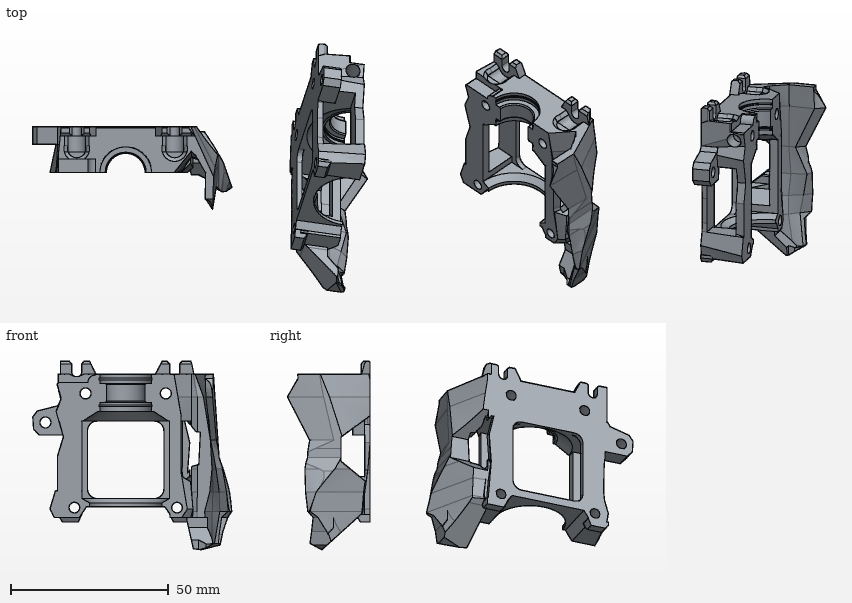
import cadquery as cq
import math


BODY_DEPTH = 14.6
BACK_PLATE_THICKNESS = 1.75
POST_THICKNESS = 2.7
OVERCUT = 1.0
REACH = 40.0
OPENING_HALF_WIDTH = 13.85
OPENING_TOP = -14.9
OPENING_BOTTOM = -39.35
BACK_OPENING_HALF_WIDTH = 12.05
BACK_OPENING_RADIUS = 3.0
SIDE_WINDOW_BOTTOM = -37.0
RIGHT_WALL_X = 20.8
RIGHT_SILL_TOP = -32.0
BRIDGE_BOTTOM = -42.0
FOOT_BOTTOM = -45.4
REAR_FOOT_BOTTOM = -46.8
REAR_FOOT_FRONT_Y = 10.6
REAR_EDGE_CHAMFER = 0.4
PLATE_FRONT = BODY_DEPTH - BACK_PLATE_THICKNESS

BORE_RADIUS = 6.1
SEAT_RADIUS = 8.15
SEAT_DEPTH = 2.9
SEAT_CHAMFER = 0.4
LOWER_SEAT_TOP = -8.9
LOWER_SEAT_BOTTOM = -11.85
CONE_TOP_RADIUS = 8.9
CONE_BOTTOM_RADIUS = 13.6
GROOVE_DEPTH = 0.25
GROOVE_HEIGHT = 0.5
UPPER_GROOVE_TOP = -1.3
LOWER_GROOVE_TOP = -9.75
RING_RADIUS = 11.45
RING_CONE_HEIGHT = 1.4

MOUNT_HOLE_DIAMETER = 3.4
UPPER_HOLE_X = 12.7
UPPER_HOLE_Z = -6.1
FOOT_HOLE_DIAMETER = 3.3
FOOT_HOLE_X = 16.25
FOOT_HOLE_Z = -42.25
SIDE_PIN_DIAMETER = 4.5
SIDE_PIN_Y = 3.5
SIDE_PIN_Z = -5.7
SIDE_PIN_START_X = -25.0
SIDE_PIN_END_X = -14.5

EAR_DEPTH = 5.6
EAR_HOLE_X = -25.4
EAR_HOLE_Z = -15.3

CLIP_X = 15.5
CLIP_INNER_X = 9.4
CLIP_HEIGHT = 4.08
CLIP_THICKNESS = 2.9
CLIP_CHAMFER = 0.8
SLOT_WIDTH = 3.1
SLOT_AXIS_Z = 0.65
HEAD_DIAMETER = 6.0
HEAD_POCKET_END_Y = 6.6
FLARE_WIDTH = 7.85
FLARE_DEPTH = 1.15
FLARE_END_RADIUS = 4.06

STEP_DEPTH = 2.7
STEP_BACK_Y = 4.3
STEP_RIGHT_X = -9.6
STEP_RADIUS = 2.4
CORNER_X = -21.3
CORNER_CHAMFER = 1.2
CORNER_SETBACK = 0.4

WEB_BACK_Y = 5.4
SHOULDER_INNER_X = 14.0
WEB_FRONT_Y = 4.25
WING_BOTTOM = -55.62
WING_LOW_Y = -0.7
DUCT_FLOOR_BACK_Y = 3.0


def prism_y(points, y_start, y_end):
    """Prism along Y with an outline given as (x, z) points."""
    outline = cq.Workplane("XZ").polyline(points).close()
    return outline.extrude(y_start - y_end).translate((0, y_start, 0))


def prism_x(points, x_start, x_end):
    """Prism along X with an outline given as (y, z) points."""
    outline = cq.Workplane("YZ").polyline(points).close()
    return outline.extrude(x_end - x_start).translate((x_start, 0, 0))


def block(x_range, y_range, z_range):
    """Axis-aligned box spanning the three ranges."""
    sizes = [high - low for low, high in (x_range, y_range, z_range)]
    corner = (x_range[0], y_range[0], z_range[0])
    return cq.Workplane("XY").box(*sizes, centered=False).translate(corner)


def cylinder_y(x, z, diameter, y_start, y_end):
    """Cylinder along Y."""
    axis_start = cq.Vector(x, y_start, z)
    solid = cq.Solid.makeCylinder(diameter / 2, y_end - y_start, axis_start, cq.Vector(0, 1, 0))
    return cq.Workplane(obj=solid)


def polyhedron_between(rings):
    """Ruled solid through closed 3D polygons with equal numbers of corners."""
    wires = [cq.Wire.makePolygon([cq.Vector(*p) for p in ring], close=True) for ring in rings]
    return cq.Workplane(obj=cq.Solid.makeLoft(wires, True))


def make_body():
    """Frame whose left and right flanks change shape from front to back."""
    front_outline = [
        (-21.9, 0), (-21.8, -3.05), (-20.4, -7.45), (-22.05, -11.75), (-19.75, -19.75),
        (-21.65, -26.05), (-21.65, -36.95), (-22.3, -36.95), (-24.0, -42.65),
        (-22.6, FOOT_BOTTOM), (-14.7, FOOT_BOTTOM), (-12.4, BRIDGE_BOTTOM),
        (12.4, BRIDGE_BOTTOM), (14.7, FOOT_BOTTOM), (17.5, FOOT_BOTTOM), (19.5, -42.7),
        (17.5, -31.0), (17.5, -13.0), (15.3, 0),
    ]
    back_outline = [
        (-20.4, 0), (-20.4, -8.6), (-20.4, -8.9), (-21.2, -10.2), (-19.75, -19.75),
        (-19.4, -26.05), (-19.3, -34.0), (-19.6, -36.95), (-20.9, -41.3),
        (-20.2, FOOT_BOTTOM), (-14.7, FOOT_BOTTOM), (-12.4, BRIDGE_BOTTOM),
        (12.4, BRIDGE_BOTTOM), (14.7, FOOT_BOTTOM), (20.7, FOOT_BOTTOM), (20.5, -42.7),
        (19.6, -31.3), (20.3, -21.7), (21.0, 0),
    ]
    front_ring = [(x, 0, z) for x, z in front_outline]
    back_ring = [(x, BODY_DEPTH, z) for x, z in back_outline]
    return polyhedron_between([front_ring, back_ring])


def make_rear_feet():
    """Lower blocks at the back of both feet, sloping up at their front."""
    profile = [(11.5, REAR_FOOT_BOTTOM), (BODY_DEPTH, REAR_FOOT_BOTTOM),
               (BODY_DEPTH, FOOT_BOTTOM + OVERCUT), (REAR_FOOT_FRONT_Y, FOOT_BOTTOM + OVERCUT),
               (REAR_FOOT_FRONT_Y, FOOT_BOTTOM)]
    inside_z = FOOT_BOTTOM + OVERCUT
    left_outline = [(-20.95, FOOT_BOTTOM), (-20.0, REAR_FOOT_BOTTOM), (-14.95, REAR_FOOT_BOTTOM),
                    (-13.9, inside_z), (-20.95, inside_z)]
    right_outline = [(21.0, REAR_FOOT_BOTTOM), (15.1, REAR_FOOT_BOTTOM), (13.9, inside_z),
                     (21.0, inside_z)]
    feet = prism_y(left_outline, 0, BODY_DEPTH).union(prism_y(right_outline, 0, BODY_DEPTH))
    return feet.intersect(prism_x(profile, -REACH, REACH))


def make_ear():
    """Mounting ear on the left of the back plate."""
    outline = [(-19.75, -19.3), (-27.4, -19.3), (-29.2, -17.4), (-29.45, -13.55), (-28.0, -11.65),
               (-21.6, -10.0), (-20.5, -8.5), (-19.0, -8.5)]
    return prism_y(outline, BODY_DEPTH - EAR_DEPTH, BODY_DEPTH)


def make_clips():
    """Two slotted screw clips standing on the rear edge of the deck."""
    top = CLIP_HEIGHT
    base = -OVERCUT
    left = [(-20.4, base), (-20.7, 0), (-20.7, top), (-11.4, top), (-CLIP_INNER_X, 0),
            (-CLIP_INNER_X, base)]
    right = [(20.8, base), (21.6, 0), (20.95, top - CLIP_CHAMFER), (20.6, top),
             (11.5, top), (CLIP_INNER_X, 0), (CLIP_INNER_X, base)]
    front_y = BODY_DEPTH - CLIP_THICKNESS
    profile = [(front_y, base), (front_y, top - CLIP_CHAMFER), (front_y + CLIP_CHAMFER, top),
               (BODY_DEPTH - REAR_EDGE_CHAMFER, top), (BODY_DEPTH, top - REAR_EDGE_CHAMFER),
               (BODY_DEPTH, base)]
    clips = prism_y(left, front_y, BODY_DEPTH).union(prism_y(right, front_y, BODY_DEPTH))
    plan = [(-20.8, front_y), (-20.4, BODY_DEPTH), (19.6, BODY_DEPTH), (21.75, front_y)]
    clips = clips.intersect(prism_x(profile, -REACH, REACH))
    return clips.intersect(cq.Workplane("XY").polyline(plan).close().extrude(2 * top, both=True))


def make_screw_cut(x):
    """Shank slot, mouth chamfer, flared head trough and its conical front end for one clip."""
    back = BODY_DEPTH + OVERCUT
    front_y = BODY_DEPTH - CLIP_THICKNESS
    half = SLOT_WIDTH / 2
    slot = block((x - half, x + half), (front_y - OVERCUT, back), (SLOT_AXIS_Z, CLIP_HEIGHT + OVERCUT))
    slot = slot.union(cylinder_y(x, SLOT_AXIS_Z, SLOT_WIDTH, front_y - OVERCUT, back))
    mouth_outline = [(x - half, CLIP_HEIGHT - CLIP_CHAMFER), (x - half - CLIP_CHAMFER, CLIP_HEIGHT),
                     (x + half + CLIP_CHAMFER, CLIP_HEIGHT), (x + half, CLIP_HEIGHT - CLIP_CHAMFER)]
    slot = slot.union(prism_y(mouth_outline, front_y, BODY_DEPTH))
    head = cylinder_y(x, 0, HEAD_DIAMETER, HEAD_POCKET_END_Y, front_y)
    head = head.intersect(block((x - HEAD_DIAMETER, x + HEAD_DIAMETER), (0, front_y), (-HEAD_DIAMETER, 0)))
    flare_half = FLARE_WIDTH / 2
    flare_outline = [(x - flare_half, 0), (x - flare_half + FLARE_DEPTH, -FLARE_DEPTH),
                     (x + flare_half - FLARE_DEPTH, -FLARE_DEPTH), (x + flare_half, 0)]
    flare = prism_y(flare_outline, HEAD_POCKET_END_Y, front_y)
    cone_y = HEAD_POCKET_END_Y + math.sqrt(FLARE_END_RADIUS**2 - flare_half**2)
    cone = cq.Solid.makeCone(FLARE_END_RADIUS, FLARE_END_RADIUS - FLARE_DEPTH, FLARE_DEPTH,
                             cq.Vector(x, cone_y, 0), cq.Vector(0, 0, -1))
    return slot.union(head).union(flare).union(cq.Workplane(obj=cone))


def make_bore_cut():
    """Stepped bore with two grooved seats, opening into a cone at the bottom."""
    profile = [
        (0, OVERCUT), (SEAT_RADIUS, OVERCUT), (SEAT_RADIUS, -SEAT_DEPTH),
        (BORE_RADIUS + SEAT_CHAMFER, -SEAT_DEPTH), (BORE_RADIUS, -SEAT_DEPTH - SEAT_CHAMFER),
        (BORE_RADIUS, LOWER_SEAT_TOP + SEAT_CHAMFER), (BORE_RADIUS + SEAT_CHAMFER, LOWER_SEAT_TOP),
        (SEAT_RADIUS, LOWER_SEAT_TOP), (SEAT_RADIUS, LOWER_SEAT_BOTTOM),
        (CONE_TOP_RADIUS, LOWER_SEAT_BOTTOM), (CONE_BOTTOM_RADIUS, OPENING_TOP), (0, OPENING_TOP),
    ]
    cut = cq.Workplane("XZ").polyline(profile).close().revolve(360, (0, 0, 0), (0, 1, 0))
    for top in (UPPER_GROOVE_TOP, LOWER_GROOVE_TOP):
        groove = cq.Workplane("XY").circle(SEAT_RADIUS + GROOVE_DEPTH).extrude(-GROOVE_HEIGHT)
        cut = cut.union(groove.translate((0, 0, top)))
    return cut


def make_ring_cut():
    """Round passage with a coned upper edge through the bottom bridge."""
    ring_top = OPENING_BOTTOM - RING_CONE_HEIGHT
    profile = [(0, OPENING_BOTTOM), (OPENING_HALF_WIDTH, OPENING_BOTTOM), (RING_RADIUS, ring_top),
               (RING_RADIUS, REAR_FOOT_BOTTOM), (0, REAR_FOOT_BOTTOM)]
    return cq.Workplane("XZ").polyline(profile).close().revolve(360, (0, 0, 0), (0, 1, 0))


def make_opening_cut():
    """Central cavity, rounded opening in the back plate and the two side windows."""
    span = (-OPENING_HALF_WIDTH, OPENING_HALF_WIDTH)
    cavity = block(span, (-OVERCUT, PLATE_FRONT), (OPENING_BOTTOM, OPENING_TOP))
    back_span = (-BACK_OPENING_HALF_WIDTH, BACK_OPENING_HALF_WIDTH)
    back_opening = block(back_span, (0, BODY_DEPTH + OVERCUT), (OPENING_BOTTOM, OPENING_TOP))
    back_opening = back_opening.edges("|Y").fillet(BACK_OPENING_RADIUS)
    window_outline = [(-REACH, OPENING_TOP), (-REACH, SIDE_WINDOW_BOTTOM),
                      (OPENING_HALF_WIDTH, SIDE_WINDOW_BOTTOM), (RIGHT_WALL_X, RIGHT_SILL_TOP),
                      (RIGHT_WALL_X, OPENING_TOP)]
    windows = prism_y(window_outline, POST_THICKNESS, PLATE_FRONT)
    return cavity.union(back_opening).union(windows)


def make_deck_step():
    """Step in the front left deck corner, with a rounded lip at its right end."""
    step = (
        cq.Workplane("XZ")
        .moveTo(-REACH, OVERCUT).lineTo(-REACH, -STEP_DEPTH)
        .lineTo(STEP_RIGHT_X - STEP_RADIUS, -STEP_DEPTH)
        .radiusArc((STEP_RIGHT_X, -STEP_DEPTH + STEP_RADIUS), STEP_RADIUS)
        .lineTo(STEP_RIGHT_X, OVERCUT).close()
        .extrude(-STEP_BACK_Y - OVERCUT)
    )
    corner = [(CORNER_X, 0), (CORNER_X, -STEP_DEPTH),
              (CORNER_X - CORNER_CHAMFER, -STEP_DEPTH - CORNER_CHAMFER), (CORNER_X - CORNER_CHAMFER, 0)]
    trimmed_corner = prism_y(corner, -OVERCUT, STEP_BACK_Y + CORNER_SETBACK)
    return step.translate((0, -OVERCUT, 0)).union(trimmed_corner)


def wing_ring(z, root, back, knee, tip_outer, tip_inner, blade_root, web_end, web_start, web_side):
    """One level of the wing: outer flank, blade tip, inner flank and web, as (x, y) corners."""
    corners = (root, back, knee, tip_outer, tip_inner, blade_root, web_end, web_start, web_side)
    return [(x, y, z) for x, y in corners]


def make_wing():
    """Faceted fan wing: a web joined to the body and a blade reaching forward."""
    rings = [
        wing_ring(0, (16.0, 14.6), (20.6, 14.6), (27.8, -1.2), (27.6, -8.3),
                  (25.1, -8.3), (25.3, 0), (22.0, 5.6), (21.4, 6.1), (20.8, 6.8)),
        wing_ring(-7.2, (16.0, 14.6), (21.7, 14.6), (28.4, 1.5), (27.5, -11.65),
                  (25.4, -8.5), (25.8, 0), (24.6, WEB_FRONT_Y), (22.7, WEB_FRONT_Y), (20.8, 5.2)),
        wing_ring(-20.9, (18.0, 14.6), (23.4, 14.6), (29.4, 5.8), (28.7, -4.6),
                  (26.9, -1.7), (26.85, 0.5), (26.8, WEB_FRONT_Y), (22.7, WEB_FRONT_Y), (20.8, 5.2)),
        wing_ring(-30.0, (18.0, 14.0), (25.0, 13.5), (31.1, 3.0), (30.6, -6.1),
                  (28.6, -5.0), (27.5, 0), (27.3, WEB_FRONT_Y), (22.7, WEB_FRONT_Y), (20.8, 5.2)),
        wing_ring(-37.3, (18.5, 13.0), (25.0, 12.5), (32.9, -2.5), (31.9, -5.9),
                  (29.6, -3.5), (27.6, 0.8), (26.6, WEB_FRONT_Y), (22.7, WEB_FRONT_Y), (20.9, 5.0)),
        wing_ring(-43.4, (18.5, 12.5), (25.0, 12.0), (33.7, -4.6), (32.6, -5.4),
                  (29.8, -2.3), (27.4, 0.8), (25.0, WEB_FRONT_Y), (22.5, WEB_FRONT_Y), (21.3, 4.9)),
        wing_ring(-56.0, (19.5, 10.0), (25.0, 10.0), (31.5, 0), (30.0, -5.0),
                  (27.7, -4.2), (27.3, -1.0), (25.5, WEB_FRONT_Y), (23.5, WEB_FRONT_Y), (20.5, 3.2)),
    ]
    side_outline = [
        (BODY_DEPTH, 0), (-8.35, 0), (-8.3, -1.4), (-11.65, -7.2), (-9.6, -12.5), (-4.6, -20.9),
        (-6.1, -30.0), (-5.9, -37.3), (-5.2, -43.4), (-3.5, -45.3), (-4.1, -50.7), (-4.5, -53.6),
        (WING_LOW_Y, WING_BOTTOM), (REAR_FOOT_FRONT_Y, FOOT_BOTTOM), (BODY_DEPTH, -41.5),
    ]
    front_outline = [
        (10.0, 0), (27.8, 0), (29.4, -23.6), (29.6, -26.4), (31.1, -30.7), (33.0, -37.4),
        (33.6, -43.4), (32.3, -45.4), (30.8, -49.8), (29.9, -54.1), (23.9, WING_BOTTOM), (21.4, -55.3),
        (19.4, -46.5), (10.0, -46.5),
    ]
    duct_floor = [(DUCT_FLOOR_BACK_Y, FOOT_BOTTOM), (DUCT_FLOOR_BACK_Y, -48.6), (-2.0, -53.8),
                  (-4.5, -53.6), (WING_LOW_Y, WING_BOTTOM),
                  (REAR_FOOT_FRONT_Y, FOOT_BOTTOM)]
    floor_plan = [(19.4, REAR_FOOT_FRONT_Y), (25.0, REAR_FOOT_FRONT_Y), (31.5, 0), (30.5, -4.5),
                  (28.0, -4.5), (25.4, -1.9), (23.0, WING_LOW_Y), (19.4, WING_LOW_Y)]
    floor_height = FOOT_BOTTOM - WING_BOTTOM
    plan = cq.Workplane("XY").polyline(floor_plan).close().extrude(floor_height)
    floor = prism_x(duct_floor, 19.4, 31.5).intersect(plan.translate((0, 0, WING_BOTTOM)))
    wing = polyhedron_between(rings).union(floor)
    wing = wing.intersect(prism_x(side_outline, 0, REACH))
    return wing.intersect(prism_y(front_outline, -REACH, REACH))


def shoulder_ring(inner, post_edge, web_edge):
    """Section of a shoulder: two (x, z) corners at the post and one (x, y, z) corner at the web."""
    inner_x, inner_z = inner
    edge_x, edge_z = post_edge
    web_x, web_y, web_z = web_edge
    return [(inner_x, 0, inner_z), (edge_x, 0, edge_z), (web_x, web_y, web_z),
            (web_x, PLATE_FRONT, web_z), (inner_x, PLATE_FRONT, inner_z)]


def make_shoulders():
    """Upper and lower joints between the right post and the wing, slanted at their front."""
    upper = [
        shoulder_ring((SHOULDER_INNER_X, 0), (15.3, 0), (20.8, 6.8, 0)),
        shoulder_ring((SHOULDER_INNER_X, -7.2), (16.4, -7.2), (20.8, 5.0, -7.2)),
        shoulder_ring((SHOULDER_INNER_X, OPENING_TOP), (17.5, OPENING_TOP), (20.8, 5.0, OPENING_TOP)),
    ]
    lower = [
        shoulder_ring((SHOULDER_INNER_X, -30.1), (17.5, -32.2), (20.5, 3.0, -34.0)),
        shoulder_ring((SHOULDER_INNER_X, -42.7), (19.5, -42.7), (21.3, 1.6, -42.7)),
        shoulder_ring((SHOULDER_INNER_X, FOOT_BOTTOM), (17.8, FOOT_BOTTOM), (20.6, 3.0, FOOT_BOTTOM)),
    ]
    return polyhedron_between(upper).union(polyhedron_between(lower))


def make_wing_openings():
    """Air passages behind the web and between the web and the right post."""
    behind_web = [(WEB_BACK_Y, -19.9), (15.6, -12.4), (15.6, -36.0), (WEB_BACK_Y, -27.6)]
    beside_web = [(18.7, OPENING_TOP), (20.3, -21.7), (19.6, -31.3), (21.1, -29.1), (23.1, -28.6),
                  (23.6, -18.4), (22.2, -18.2), (19.5, OPENING_TOP)]
    return prism_x(behind_web, 20.3, REACH), prism_y(beside_web, -REACH, REACH)


def make_rear_deck_chamfer():
    """Small chamfer along the rear deck edge between the clips."""
    profile = [(BODY_DEPTH - REAR_EDGE_CHAMFER, 0), (BODY_DEPTH, 0), (BODY_DEPTH, -REAR_EDGE_CHAMFER)]
    return prism_x(profile, -CLIP_INNER_X, CLIP_INNER_X)


def make_holes():
    """Mounting holes along Y and the blind pin hole in the left flank."""
    back = BODY_DEPTH + OVERCUT
    holes = cylinder_y(EAR_HOLE_X, EAR_HOLE_Z, MOUNT_HOLE_DIAMETER, -OVERCUT, back)
    for side in (-1, 1):
        upper = cylinder_y(side * UPPER_HOLE_X, UPPER_HOLE_Z, MOUNT_HOLE_DIAMETER, -OVERCUT, back)
        lower = cylinder_y(side * FOOT_HOLE_X, FOOT_HOLE_Z, FOOT_HOLE_DIAMETER, -OVERCUT, back)
        holes = holes.union(upper).union(lower)
    pin = cq.Workplane("YZ").center(SIDE_PIN_Y, SIDE_PIN_Z).circle(SIDE_PIN_DIAMETER / 2)
    pin = pin.extrude(SIDE_PIN_END_X - SIDE_PIN_START_X).translate((SIDE_PIN_START_X, 0, 0))
    return holes.union(pin)


behind_web, beside_web = make_wing_openings()
wing = make_wing().cut(behind_web)
result = make_body().union(make_rear_feet()).union(make_shoulders()).union(make_clips()).union(wing)
result = result.cut(beside_web).cut(make_opening_cut()).union(make_ear())
result = result.cut(make_bore_cut()).cut(make_ring_cut()).cut(make_deck_step()).cut(make_holes())
result = result.cut(make_rear_deck_chamfer())
for side in (-1, 1):
    result = result.cut(make_screw_cut(side * CLIP_X))